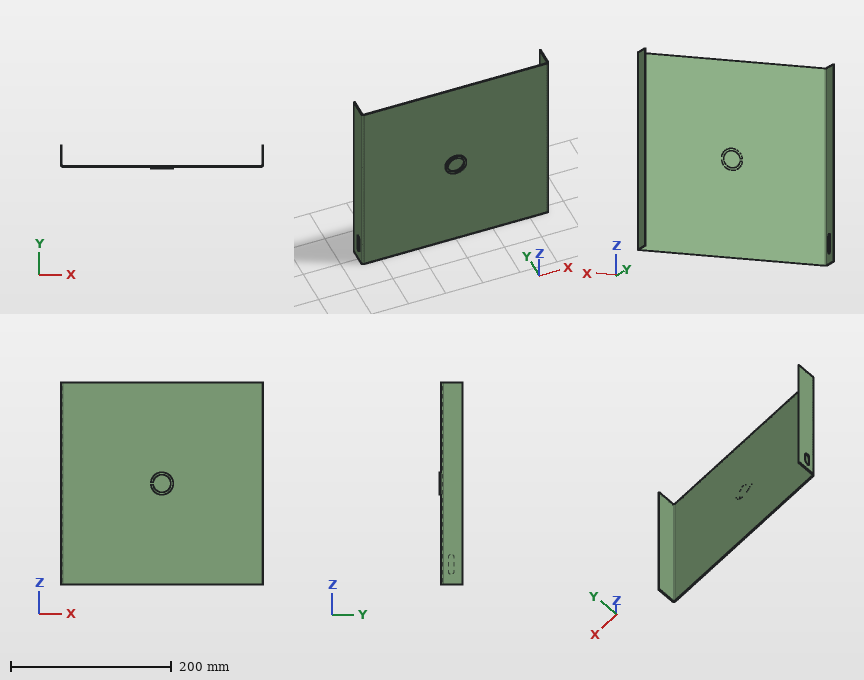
import cadquery as cq

panel_size = 251.5
overall_depth = 29.0
sheet = 1.5
bend_outer_radius = 2.8
bend_inner_radius = bend_outer_radius - sheet

ring_outer_diameter = 28.0
ring_inner_diameter = 22.0
ring_height = 1.95
ring_gap = 3.0

slot_length = 25.0
slot_width = 7.0
slot_height_above_bottom = 25.6
slot_from_back_edge = 14.5

back_edge = overall_depth - ring_height
half_panel = panel_size / 2


def folded_panel():
    """U-shaped channel running the full height, rounded inside and outside the bends."""
    outer = (
        cq.Workplane("XY")
        .box(panel_size, back_edge, panel_size, centered=(True, False, True))
        .edges("|Z and <Y")
        .fillet(bend_outer_radius)
    )
    inner = (
        cq.Workplane("XY")
        .box(panel_size - 2 * sheet, back_edge, panel_size, centered=(True, False, True))
        .edges("|Z and <Y")
        .fillet(bend_inner_radius)
        .translate((0, sheet, 0))
    )
    return outer.cut(inner)


def split_ring():
    """Flat ring at the panel centre, cut through on its -X side."""
    ring = (
        cq.Workplane("XZ")
        .circle(ring_outer_diameter / 2)
        .circle(ring_inner_diameter / 2)
        .extrude(ring_height)
    )
    gap = cq.Workplane("XY").box(
        ring_outer_diameter, 2 * ring_height, ring_gap
    ).translate((-ring_outer_diameter / 2, 0, 0))
    return ring.cut(gap)


def flange_slot():
    """Cutter for the round-ended slot in the -X flange."""
    return (
        cq.Workplane("YZ", origin=(-half_panel - sheet, 0, 0))
        .center(back_edge - slot_from_back_edge, slot_height_above_bottom - half_panel)
        .slot2D(slot_length, slot_width, 90)
        .extrude(3 * sheet)
    )


result = folded_panel().union(split_ring()).cut(flange_slot())